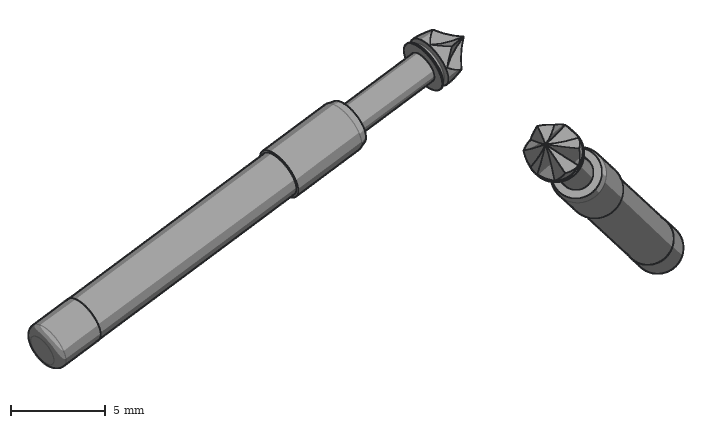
import cadquery as cq
import math

overall_length = 30.3
ridge_end = 1.5
valley_end = 2.4
head_end = 2.48
flange_end = 2.95
sleeve_start = 8.27
sleeve_end = 13.27
joint = 27.33

head_radius = 3.0 / 2
groove_radius = 2.48 / 2
stem_radius = 1.82 / 2
sleeve_radius = 3.0 / 2
sleeve_nose_radius = 2.73 / 2
barrel_radius = 2.7 / 2
tail_radius = 2.73 / 2

groove_floor_width = 0.15
groove_floor_depth = 0.045
sleeve_taper_length = 0.45
tail_rounding = 0.45
flange_thickness = 0.1
ridge_count = 6
bow = 0.15


def from_tip(distance):
    """Y position of a station that lies the given distance behind the tip."""
    return overall_length - distance


def cylinder(radius, front, back):
    """Cylinder on the Y axis between two stations behind the tip."""
    return (
        cq.Workplane("XZ", origin=(0, from_tip(front), 0))
        .circle(radius)
        .extrude(back - front)
    )


def star_line(index):
    """Hollow arc from the tip to the back of the head: a ridge for even indices, else a valley."""
    end = ridge_end if index % 2 == 0 else valley_end
    angle = math.pi * index / ridge_count

    def point(distance):
        share = distance / end
        sag = bow * 4 * share * (1 - share)
        radius = head_radius * share - sag
        return cq.Vector(radius * math.cos(angle), from_tip(distance), radius * math.sin(angle))

    return cq.Edge.makeThreePointArc(point(0), point(head_end / 2), point(head_end))


def star_point():
    """Pointed star with hollow flanks, two of its ridges lying over the X axis."""
    lines = [star_line(index) for index in range(2 * ridge_count)]
    corners = [line.endPoint() for line in lines]
    faces = [cq.Face.makeFromWires(cq.Wire.makePolygon(corners, close=True))]
    for line, next_line in zip(lines, lines[1:] + lines[:1]):
        faces.append(cq.Face.makeRuledSurface(line, next_line))
    return cq.Workplane(cq.Solid.makeSolid(cq.Shell.makeShell(faces)))


def head():
    """Six-ridged point trimmed to the head cylinder."""
    return cylinder(head_radius, 0, head_end).intersect(star_point())


def groove_and_flange():
    """V groove with a rounded floor behind the head, closed by a thin flange."""
    flange_start = flange_end - flange_thickness
    groove_middle = (head_end + flange_start) / 2
    floor_front = groove_middle - groove_floor_width / 2
    floor_back = groove_middle + groove_floor_width / 2
    return (
        cq.Workplane("XY")
        .moveTo(0, from_tip(head_end))
        .lineTo(head_radius, from_tip(head_end))
        .lineTo(groove_radius + groove_floor_depth, from_tip(floor_front))
        .threePointArc(
            (groove_radius, from_tip(groove_middle)),
            (groove_radius + groove_floor_depth, from_tip(floor_back)),
        )
        .lineTo(head_radius, from_tip(flange_start))
        .lineTo(head_radius, from_tip(flange_end))
        .lineTo(0, from_tip(flange_end))
        .close()
        .revolve(360, (0, 0, 0), (0, 1, 0))
    )


def sleeve():
    """Press-fit sleeve with a tapered nose."""
    body = cylinder(sleeve_radius, sleeve_start, sleeve_end)
    return body.faces(">Y").chamfer(sleeve_taper_length, sleeve_radius - sleeve_nose_radius)


def tail():
    """Rear end piece with a rounded rim."""
    return cylinder(tail_radius, joint, overall_length).faces("<Y").edges().fillet(tail_rounding)


result = (
    head()
    .union(groove_and_flange())
    .union(cylinder(stem_radius, flange_end, sleeve_start))
    .union(sleeve())
    .union(cylinder(barrel_radius, sleeve_end, joint))
    .union(tail())
)